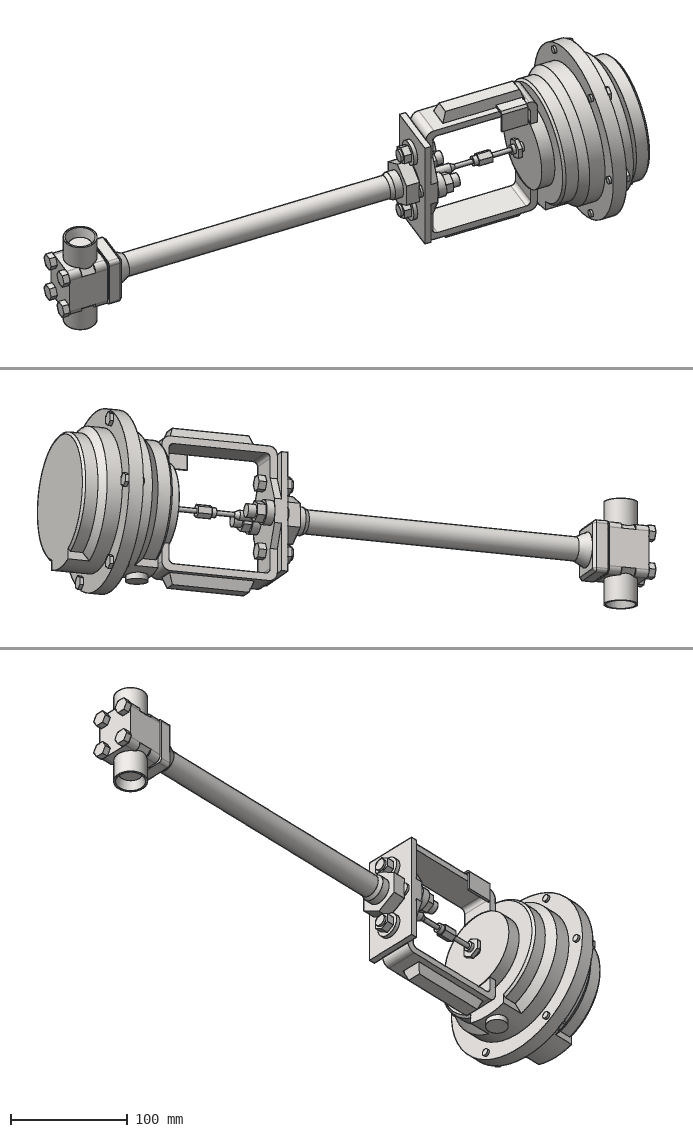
import cadquery as cq
import math


casing_length = 82.5
casing_radius = 63.0
cap_radius = 56.5
rear_cap_end = 13.5
rear_cone_end = 19.5
front_cone_start = 61.0
front_cone_end = 68.5
casing_chamfer = 2.0
foot_half_width = 20.0
vent_radius = 9.5
vent_station = 70.5
vent_depth = 68.0

flange_diameter = 159.0
flange_start = 33.5
flange_end = 46.5
flange_bolt_count = 6
flange_bolt_circle_radius = 73.0
flange_bolt_head = 12.5
flange_bolt_head_height = 3.0
flange_bolt_radius = 3.0
flange_bolt_tip = 2.0

neck_radius = 39.0
neck_end = 95.0

yoke_start = 88.0
yoke_end = 193.5
yoke_half_height = 60.0
yoke_width = 30.5
yoke_thickness = 6.5
yoke_bend = 7.5
yoke_opening_bend = 4.5
leg_width = 51.0
leg_flat_half = 11.0
leg_taper_half = 31.0

rib_start = 97.0
rib_end = 174.5
rib_height = 9.5
rib_width = 19.0
rib_top_width = 13.0
rib_end_slope = 4.0

clip_start = 99.0
clip_length = 25.0
clip_reach = 20.5
clip_thickness = 2.0
clip_bottom = 41.0

plate_height = 105.5
plate_thickness = 6.0
plate_end = yoke_end + plate_thickness

clamp_bolt_offset = 30.0
clamp_head = 14.5
clamp_head_height = 7.0
clamp_washer_radius = 11.5
clamp_washer_thickness = 4.0
clamp_nut = 16.5
clamp_nut_height = 7.0
clamp_tip_radius = 5.5
clamp_tip = 2.0

side_stud_offset = 16.5
side_stud_radius = 6.0
side_stud_start = 164.0
side_stud_tip = 2.0
side_nut_start = 172.0
side_nut = 19.0
side_washer_start = 179.5
side_washer_radius = 11.0

stem_radius = 2.0
collar_radius = 4.5
collar_end = 105.5
stem_nut_start = 98.5
stem_nut_height = 4.0
stem_nut = 19.0
coupling_start = 125.0
coupling_hex_length = 13.0
coupling_hex = 12.0
coupling_end = 142.0
gland_start = 159.5
gland_cone_end = 163.5
gland_radius = 4.5

union_hex_start = 201.0
union_hex_end = 213.0
union_hex = 42.5
union_seat_radius = 16.0
union_neck_radius = 12.5
union_neck_end = 221.0
union_cone_end = 224.5
pipe_diameter = 21.0
pipe_radius = pipe_diameter / 2
pipe_end = 471.5
pipe_cone_radius = 15.5

bonnet_start = 482.0
bonnet_end = 495.0
bonnet_chamfer = 2.5
bonnet_corner = 3.0
body_start = 496.5
body_end = 532.5
body_width = 37.0
body_height = 46.5
body_corner = 6.0
body_gap_inset = 3.0
corner_relief_start = 507.5
corner_relief_end = 520.5
overall_length = 538.5
body_bolt_x = 13.0
body_bolt_z = 16.5
body_bolt_head = 14.5

port_radius = 14.5
port_station = 513.5
port_height = 45.0
port_mouth_radius = 13.0
port_seat_radius = 10.0
port_depth = 8.5


def section(station, x=0, z=0):
    """Sketch plane across the axis; extruding runs toward -Y."""
    return cq.Workplane("XZ", origin=(x, -station, z))


def rod(radius, start, end, x=0, z=0):
    return section(start, x, z).circle(radius).extrude(end - start)


def block(width, height, start, end):
    return section(start).rect(width, height).extrude(end - start)


def hex_prism(corners, start, end, x=0, z=0, turn=0):
    """Hexagon, with two corners along X before it is turned about its axis."""
    sketch = section(start, x, z).transformed(rotate=(0, 0, turn))
    return sketch.polygon(6, corners).extrude(end - start)


def cone(radius_start, radius_end, start, end):
    outline = [(0, -start), (radius_start, -start), (radius_end, -end), (0, -end)]
    return cq.Workplane("XY").polyline(outline).close().revolve(360, (0, 0), (0, 1))


def upside_down(shape):
    return shape.mirror("XY")


def casing():
    outline = [
        (0, 0),
        (cap_radius - casing_chamfer, 0),
        (cap_radius, -casing_chamfer),
        (cap_radius, -rear_cap_end),
        (casing_radius, -rear_cone_end),
        (casing_radius, -front_cone_start),
        (cap_radius, -front_cone_end),
        (cap_radius, -(casing_length - casing_chamfer)),
        (cap_radius - casing_chamfer, -casing_length),
        (0, -casing_length),
    ]
    body = cq.Workplane("XY").polyline(outline).close().revolve(360, (0, 0), (0, 1))
    foot_zone = cq.Workplane("XY").box(
        2 * foot_half_width, casing_length, casing_radius, centered=(True, True, False)
    ).translate((0, -casing_length / 2, -casing_radius))
    foot = rod(casing_radius, 0, casing_length).intersect(foot_zone)
    vent = (
        cq.Workplane("XY", origin=(0, -vent_station, -vent_depth))
        .circle(vent_radius)
        .extrude(vent_depth - cap_radius + casing_chamfer)
    )
    neck = rod(neck_radius, casing_length, neck_end)
    return body.union(foot).union(vent).union(neck)


def flange():
    ring = rod(flange_diameter / 2, flange_start, flange_end)
    for index in range(flange_bolt_count):
        angle = 2 * math.pi * index / flange_bolt_count
        x = flange_bolt_circle_radius * math.cos(angle)
        z = flange_bolt_circle_radius * math.sin(angle)
        head_start = flange_start - flange_bolt_head_height
        ring = ring.union(hex_prism(flange_bolt_head, head_start, flange_start, x, z, 90))
        ring = ring.union(rod(flange_bolt_radius, flange_end, flange_end + flange_bolt_tip, x, z))
    return ring


def yoke():
    length = yoke_end - yoke_start
    middle = -(yoke_start + yoke_end) / 2
    frame = cq.Workplane("XY").box(yoke_width, length, 2 * yoke_half_height)
    frame = frame.edges("|X").fillet(yoke_bend)
    opening = cq.Workplane("XY").box(
        yoke_width, length - 2 * yoke_thickness, 2 * (yoke_half_height - yoke_thickness)
    )
    opening = opening.edges("|X").fillet(yoke_opening_bend)
    frame = frame.cut(opening).translate((0, middle, 0))
    leg = (
        section(yoke_end - yoke_thickness)
        .moveTo(yoke_width / 2, leg_taper_half)
        .lineTo(leg_width / 2, leg_flat_half)
        .lineTo(leg_width / 2, -leg_flat_half)
        .lineTo(yoke_width / 2, -leg_taper_half)
        .lineTo(-yoke_width / 2, -leg_taper_half)
        .lineTo(-leg_width / 2, -leg_flat_half)
        .lineTo(-leg_width / 2, leg_flat_half)
        .lineTo(-yoke_width / 2, leg_taper_half)
        .close()
        .extrude(yoke_thickness)
    )
    neck_gap = rod(neck_radius, yoke_start, yoke_start + yoke_thickness)
    frame = frame.cut(neck_gap).union(leg)
    return frame.union(block(leg_width, plate_height, yoke_end, plate_end))


def rib():
    """Tapered stiffener on the upper arm of the yoke."""
    length = rib_end - rib_start
    base = cq.Workplane("XY", origin=(0, -(rib_start + rib_end) / 2, yoke_half_height))
    return (
        base.rect(rib_width, length)
        .workplane(offset=rib_height)
        .rect(rib_top_width, length - 2 * rib_end_slope)
        .loft(ruled=True)
    )


def travel_clip():
    """Angle clip hooked over one edge of the upper arm."""
    top = yoke_half_height + clip_thickness
    side_inner = clip_reach - clip_thickness
    tab_inner = rib_top_width / 2
    return (
        section(clip_start)
        .moveTo(tab_inner, yoke_half_height)
        .lineTo(tab_inner, top)
        .lineTo(side_inner, top)
        .lineTo(clip_reach, yoke_half_height)
        .lineTo(clip_reach, clip_bottom)
        .lineTo(side_inner, clip_bottom)
        .lineTo(side_inner, yoke_half_height)
        .close()
        .extrude(clip_length)
    )


def clamp_bolt(z):
    leg_inner = yoke_end - yoke_thickness
    washer_end = plate_end + clamp_washer_thickness
    nut_end = washer_end + clamp_nut_height
    head = hex_prism(clamp_head, leg_inner - clamp_head_height, leg_inner, z=z)
    washer = rod(clamp_washer_radius, plate_end, washer_end, z=z)
    nut = hex_prism(clamp_nut, washer_end, nut_end, z=z, turn=90)
    tip = rod(clamp_tip_radius, nut_end, nut_end + clamp_tip, z=z)
    return head.union(washer).union(nut).union(tip)


def side_stud(x):
    stud = rod(side_stud_radius, side_stud_start, plate_end + side_stud_tip, x)
    nut = hex_prism(side_nut, side_nut_start, side_washer_start, x, turn=90)
    washer = rod(side_washer_radius, side_washer_start, yoke_end - yoke_thickness, x)
    return stud.union(nut).union(washer)


def stem():
    spindle = rod(stem_radius, neck_end, yoke_end)
    collar = rod(collar_radius, neck_end, collar_end)
    nut = hex_prism(stem_nut, stem_nut_start, stem_nut_start + stem_nut_height, turn=90)
    hex_end = coupling_start + coupling_hex_length
    coupling = hex_prism(coupling_hex, coupling_start, hex_end, turn=90)
    coupling_tail = rod(collar_radius, hex_end, coupling_end)
    gland_cone = cone(stem_radius, gland_radius, gland_start, gland_cone_end)
    gland = gland_cone.union(rod(gland_radius, gland_cone_end, yoke_end))
    return spindle.union(collar).union(nut).union(coupling).union(coupling_tail).union(gland)


def extension_pipe():
    seat = rod(union_seat_radius, plate_end, union_hex_start)
    nut = hex_prism(union_hex, union_hex_start, union_hex_end, turn=90)
    neck = rod(union_neck_radius, union_hex_end, union_neck_end)
    neck_cone = cone(union_neck_radius, pipe_radius, union_neck_end, union_cone_end)
    pipe = rod(pipe_radius, union_cone_end, pipe_end)
    end_cone = cone(pipe_radius, pipe_cone_radius, pipe_end, bonnet_start)
    return seat.union(nut).union(neck).union(neck_cone).union(pipe).union(end_cone)


def port():
    """Upward stub with a tapered mouth."""
    stub = cq.Workplane("XY", origin=(0, -port_station, 0)).circle(port_radius).extrude(port_height)
    mouth = (
        cq.Workplane("XY", origin=(0, -port_station, port_height))
        .circle(port_mouth_radius)
        .workplane(offset=-port_depth)
        .circle(port_seat_radius)
        .loft()
    )
    return stub.cut(mouth)


def valve_body():
    bonnet = block(body_width, body_height, bonnet_start, bonnet_end)
    bonnet = bonnet.edges("|Y").fillet(bonnet_corner).faces(">Y").chamfer(bonnet_chamfer)
    shoulder = block(
        body_width - body_gap_inset, body_height - body_gap_inset, bonnet_end, body_start
    )
    shoulder = shoulder.edges("|Y").fillet(body_corner)
    body = bonnet.union(shoulder)
    for start, end in ((body_start, corner_relief_start), (corner_relief_end, body_end)):
        body = body.union(block(body_width, body_height, start, end).edges("|Y").fillet(body_corner))
    relief = block(body_width, body_height, corner_relief_start, corner_relief_end)
    body = body.union(relief.edges("|Y").chamfer(body_corner))
    for x in (-body_bolt_x, body_bolt_x):
        for z in (-body_bolt_z, body_bolt_z):
            body = body.union(hex_prism(body_bolt_head, body_end, overall_length, x, z))
    return body.union(port()).union(upside_down(port()))


result = casing().union(flange()).union(yoke())
result = result.union(rib()).union(upside_down(rib())).union(travel_clip())
for side in (-1, 1):
    result = result.union(clamp_bolt(side * clamp_bolt_offset))
    result = result.union(side_stud(side * side_stud_offset))
result = result.union(stem()).union(extension_pipe()).union(valve_body())